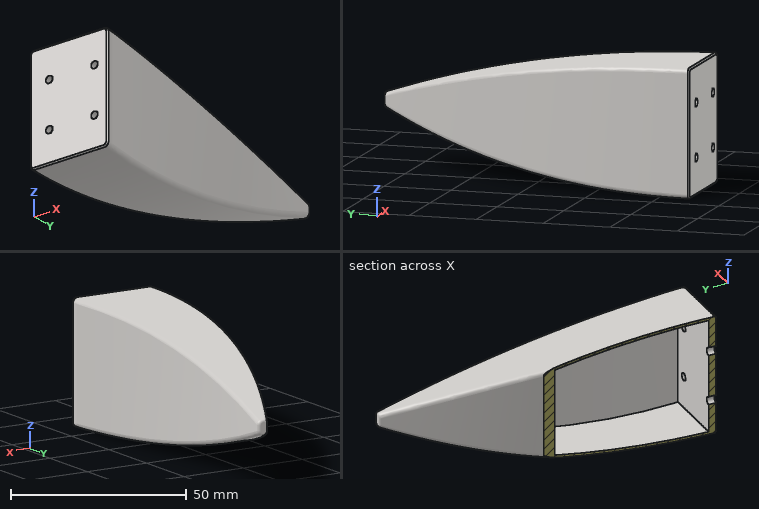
import cadquery as cq
import math

length = 98.7
base_width = 27.5
base_height = 38.0
collar_length = 2.5

outer_radius = 203.2
top_radius = 284.1
tip_right_x = 27.2
hollow_x = 25.1
hollow_y = 55.25

long_edge_radius = 1.5
base_chamfer = 0.5
tip_radius = 0.8

wall = 1.0
base_wall = collar_length

hole_diameter = 2.4
hole_spacing = 16.0
hole_center_x = 14.9

rise = length - collar_length


def arc_drop(radius, distance):
    """Sideways drift of an arc that starts parallel to Y, after a given distance along Y."""
    return radius - math.sqrt(radius**2 - distance**2)


def plan_body(inset=0.0):
    """Claw-shaped outline in XY, moved inward by the inset and extruded through the height."""
    outline = (
        cq.Workplane("XY")
        .moveTo(0, 0)
        .lineTo(base_width, 0)
        .lineTo(base_width, collar_length)
        .threePointArc((hollow_x, hollow_y), (tip_right_x, length))
        .lineTo(arc_drop(outer_radius, rise), length)
        .threePointArc(
            (arc_drop(outer_radius, rise / 2), collar_length + rise / 2),
            (0, collar_length),
        )
        .close()
    )
    if inset > 0:
        outline = outline.offset2D(-inset)
    return outline.extrude(base_height / 2, both=True)


def side_body(inset=0.0):
    """Symmetric tapering outline in YZ, moved inward by the inset and extruded across the width."""
    half = base_height / 2
    tip_half = half - arc_drop(top_radius, rise)
    middle_half = half - arc_drop(top_radius, rise / 2)
    middle_y = collar_length + rise / 2
    outline = (
        cq.Workplane("YZ")
        .moveTo(0, -half)
        .lineTo(collar_length, -half)
        .threePointArc((middle_y, -middle_half), (length, -tip_half))
        .lineTo(length, tip_half)
        .threePointArc((middle_y, middle_half), (collar_length, half))
        .lineTo(0, half)
        .close()
    )
    if inset > 0:
        outline = outline.offset2D(-inset)
    return outline.extrude(base_width)


def base_holes():
    """Square pattern of holes, running from the base along +Y into the cavity."""
    return (
        cq.Workplane("XZ")
        .center(hole_center_x, 0)
        .rarray(hole_spacing, hole_spacing, 2, 2)
        .circle(hole_diameter / 2)
        .extrude(-base_wall)
    )


horn = plan_body().intersect(side_body())

horn = horn.edges("|Y").fillet(long_edge_radius)

horn = horn.faces("<Y").chamfer(base_chamfer)
horn = horn.faces(">Y").fillet(tip_radius)

base_plate = cq.Workplane("XY").box(
    base_width, base_wall, base_height, centered=(False, False, True)
)
cavity = plan_body(wall).intersect(side_body(wall)).cut(base_plate)

result = horn.cut(cavity).cut(base_holes())